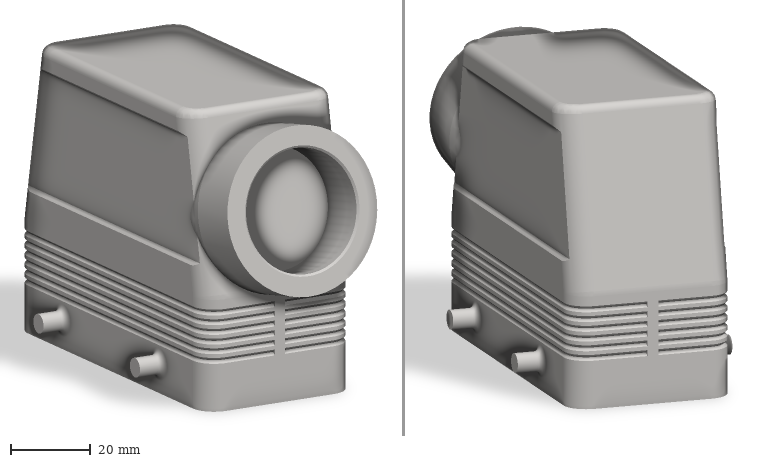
import cadquery as cq
import math

overall_length = 109.0
body_length = 93.7
body_width = 43.2
body_height = 76.0
corner_radius = 6.0
top_edge_radius = 2.4

lean_angle = 11.0
bend_height = 29.6
bend_radius = 6.5

recess_bottom = 37.0
recess_top = 70.2
recess_depth = 1.0

groove_count = 6
groove_pitch = 2.5
lowest_groove_height = 13.2
groove_depth = 0.8
groove_gap = 2.9

peg_spacing = 47.7
peg_height = 7.5
peg_diameter = 5.0
peg_tip_span = 57.0
peg_root_radius = 1.6

port_diameter = body_width
port_length = 14.9
port_reach = overall_length - body_length / 2
port_center_height = 52.3
port_bore_diameter = 31.8
port_bore_chamfer = 0.5
port_cone_angle = 10.0
port_cone_length = 10.9

half_length = body_length / 2
half_width = body_width / 2
lean = math.radians(lean_angle)


def make_body():
    """Hood block with leaning end walls and rounded corners."""
    top_half_length = half_length - (body_height - bend_height) * math.tan(lean)
    bend_setback = bend_radius * math.tan(lean / 2)
    bend_start = bend_height - bend_setback
    bend_end_x = half_length - bend_setback * math.sin(lean)
    bend_end_z = bend_height + bend_setback * math.cos(lean)
    bend_mid_x = half_length - bend_radius * (1 - math.cos(lean / 2))
    bend_mid_z = bend_start + bend_radius * math.sin(lean / 2)

    block = (
        cq.Workplane("XZ")
        .moveTo(-half_length, 0)
        .lineTo(half_length, 0)
        .lineTo(half_length, bend_start)
        .threePointArc((bend_mid_x, bend_mid_z), (bend_end_x, bend_end_z))
        .lineTo(top_half_length, body_height)
        .lineTo(-top_half_length, body_height)
        .lineTo(-bend_end_x, bend_end_z)
        .threePointArc((-bend_mid_x, bend_mid_z), (-half_length, bend_start))
        .close()
        .extrude(half_width, both=True)
    )
    block = block.edges("|Z").fillet(corner_radius)
    return block.faces(">Z").edges().fillet(top_edge_radius)


def make_recess(side):
    """Cutter for the recess on one long side, with 45 degree top and bottom edges."""
    outer_y = side * half_width
    floor_y = side * (half_width - recess_depth)
    return (
        cq.Workplane("YZ")
        .moveTo(outer_y, recess_bottom)
        .lineTo(floor_y, recess_bottom + recess_depth)
        .lineTo(floor_y, recess_top - recess_depth)
        .lineTo(outer_y, recess_top)
        .close()
        .extrude(half_length, both=True)
    )


def make_groove():
    """V-shaped ring cutter at height zero, interrupted at the middle of both ends."""
    outline = cq.Sketch().rect(body_length, body_width).vertices().fillet(corner_radius)
    groove_width = 2 * groove_depth
    slab = cq.Workplane("XY").box(body_length + groove_width, body_width + groove_width, groove_width)
    lower_core = (
        cq.Workplane("XY", origin=(0, 0, -groove_depth))
        .placeSketch(outline)
        .extrude(groove_depth, taper=45)
    )
    upper_core = lower_core.mirror("XY")
    gap = cq.Workplane("XY").box(body_length, groove_gap, groove_width)
    return slab.cut(lower_core).cut(upper_core).cut(gap)


def make_peg(x, side):
    """Locking peg standing out of one long side, with a concave flare at its root."""
    peg_radius = peg_diameter / 2
    peg_length = peg_tip_span / 2 - half_width
    arc_offset = peg_root_radius * (1 - math.sqrt(0.5))
    peg = (
        cq.Workplane("XZ")
        .moveTo(0, 0)
        .lineTo(peg_radius + peg_root_radius, 0)
        .threePointArc(
            (peg_radius + arc_offset, arc_offset),
            (peg_radius, peg_root_radius),
        )
        .lineTo(peg_radius, peg_length)
        .lineTo(0, peg_length)
        .close()
        .revolve(360, (0, 0), (0, 1))
    )
    peg = peg.rotate((0, 0, 0), (1, 0, 0), -90 * side)
    return peg.translate((x, side * half_width, peg_height))


def make_port():
    """Port barrel, a cone running from it into the body, and the bore cutter."""
    port_radius = port_diameter / 2
    bore_radius = port_bore_diameter / 2
    mouth_radius = bore_radius + port_bore_chamfer
    face_x = port_reach - port_radius * math.sin(lean)
    face = cq.Plane(
        origin=(face_x, 0, port_center_height),
        xDir=(0, 1, 0),
        normal=(math.cos(lean), 0, math.sin(lean)),
    )
    barrel = cq.Workplane(face).circle(port_radius).extrude(-port_length)
    cone = (
        cq.Workplane(face)
        .workplane(offset=-port_length)
        .circle(port_radius)
        .workplane(offset=-port_cone_length)
        .circle(port_radius - port_cone_length * math.tan(math.radians(port_cone_angle)))
        .loft()
    )
    bore = cq.Workplane(face).circle(bore_radius).extrude(-port_length)
    mouth = (
        cq.Workplane(face)
        .circle(mouth_radius)
        .workplane(offset=-port_bore_chamfer)
        .circle(bore_radius)
        .loft()
    )
    return barrel.union(cone), bore.union(mouth)


hood = make_body()

for side in (-1, 1):
    hood = hood.cut(make_recess(side))

groove = make_groove()
for i in range(groove_count):
    hood = hood.cut(groove.translate((0, 0, lowest_groove_height + i * groove_pitch)))

for side in (-1, 1):
    for x in (-peg_spacing / 2, peg_spacing / 2):
        hood = hood.union(make_peg(x, side))

port, port_bore = make_port()
result = hood.union(port).cut(port_bore)